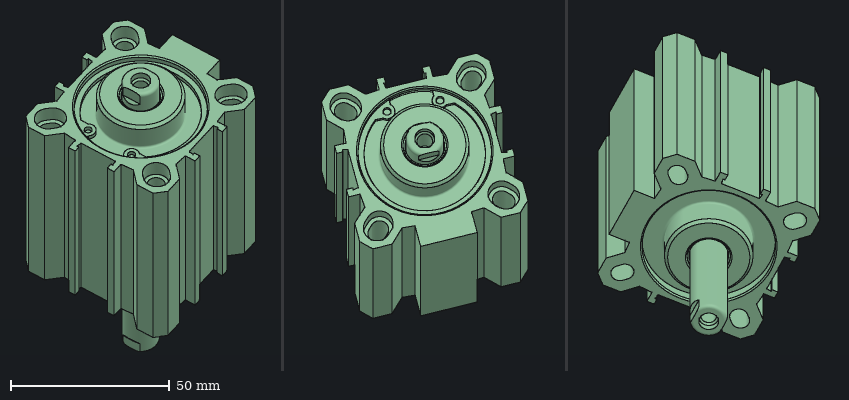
import cadquery as cq
import math


housing_height = 69.5
corner_reach = 27.5
corner_chamfer = 3.4
post_edge = 17.8
post_root = (13.35, 23.05)
wall_reach = 23.4
pad_width = 18.5
pad_reach = 30.5

rail_outer = 8.8
rail_inner = 6.6
rail_undercut = 6.9
rail_lip_inner = 6.2
rail_lip_start = 25.1
rail_reach = 27.2

mount_offset = 20.5
mount_stretch = 1.6
mount_hole_diameter = 5.75
counterbore_diameter = 8.57
counterbore_depth = 5.65

bore_diameter = 40.0
seat_diameter = 42.2
mouth_chamfer = 0.5
cover_recess = 3.8
ring_thickness = 1.5
ring_inner_diameter = 38.4
ring_groove_diameter = 44.7
ring_turn = 1.9
ring_gap_half = 7.0
ear_radius = 2.5
ear_hole_diameter = 2.5
ear_pitch_radius = 18.35
ear_angle = 27.9
ear_shoulder_end = 13.5
ear_shoulder = 14.3

boss_diameter = 28.0
boss_projection = 6.0
boss_chamfer = 1.0
boss_foot_fillet = 0.8
flange_thickness = 8.0
wiper_diameter = 13.7
wiper_depth = 1.0
wiper_chamfer = 0.5
rod_clearance_diameter = 12.54
rod_clearance_depth = 3.0

rod_diameter = 12.0
rod_top_projection = 6.5
rod_bottom_projection = 36.5
rod_end_fillet = 1.25
flat_width = 10.0
flat_length = 4.5
tap_diameter = 4.92
tap_depth = 15.0
tap_relief_diameter = 6.25
tap_relief_depth = 2.3
hole_floor_angle = 160.0

mid_height = housing_height / 2
seat_depth = cover_recess + flange_thickness
boss_top = housing_height + boss_projection


def cylinder(diameter, bottom, height):
    return cq.Workplane("XY").workplane(offset=bottom).circle(diameter / 2).extrude(height)


def cone(lower_diameter, upper_diameter, bottom, height):
    solid = cq.Solid.makeCone(lower_diameter / 2, upper_diameter / 2, height, cq.Vector(0, 0, bottom))
    return cq.Workplane("XY").add(solid)


def mirrored_down(shape):
    """The shape reflected to the other end of the housing."""
    return shape.mirror("XY", (0, 0, mid_height))


def turned(shape, angle):
    return shape.rotate((0, 0, 0), (0, 0, 1), angle)


def housing_core():
    """Four-post profile, drawn one side at a time and turned around the axis."""
    root_x, root_y = post_root
    chamfer_start = corner_reach - corner_chamfer
    side = [
        (-chamfer_start, corner_reach),
        (-post_edge, corner_reach),
        (-root_x, root_y),
        (-rail_outer, wall_reach),
        (rail_outer, wall_reach),
        (root_x, root_y),
        (post_edge, corner_reach),
        (chamfer_start, corner_reach),
    ]
    outline = []
    for quarter in range(4):
        turn = -math.radians(90 * quarter)
        for x, y in side:
            turned_x = x * math.cos(turn) - y * math.sin(turn)
            turned_y = x * math.sin(turn) + y * math.cos(turn)
            outline.append((turned_x, turned_y))
    return cq.Workplane("XY").polyline(outline).close().extrude(housing_height)


def sensor_rails():
    """Pair of lipped rails on the -Y wall."""
    rail = (
        cq.Workplane("XY")
        .moveTo(rail_outer, -post_root[1])
        .lineTo(rail_outer, -rail_reach)
        .lineTo(rail_lip_inner, -rail_reach)
        .lineTo(rail_lip_inner, -rail_lip_start)
        .lineTo(rail_undercut, -rail_lip_start)
        .lineTo(rail_inner, -wall_reach)
        .lineTo(rail_inner, -post_root[1])
        .close()
        .extrude(housing_height)
    )
    return rail.union(rail.mirror("YZ"))


def diagonal_slots(diameter, bottom, height):
    slots = cq.Workplane("XY")
    for quarter in range(4):
        slot = (
            cq.Workplane("XY")
            .workplane(offset=bottom)
            .center(mount_offset * math.sqrt(2), 0)
            .slot2D(diameter + mount_stretch, diameter)
            .extrude(height)
        )
        slots = slots.add(turned(slot, 45 + 90 * quarter))
    return slots.combine()


def make_housing():
    body = housing_core()
    for angle in (-90, 0, 90):
        body = body.union(turned(sensor_rails(), angle))
    pad_depth = pad_reach - post_root[1]
    pad = cq.Workplane("XY").box(pad_width, pad_depth, housing_height, centered=(True, False, False))
    body = body.union(pad.translate((0, post_root[1], 0)))

    seat = cylinder(seat_diameter, housing_height - seat_depth, seat_depth)
    mouth_diameter = seat_diameter + 2 * mouth_chamfer
    mouth = cone(seat_diameter, mouth_diameter, housing_height - mouth_chamfer, mouth_chamfer)
    end_cut = seat.union(mouth)
    groove = cylinder(ring_groove_diameter, housing_height - cover_recess, ring_thickness)
    body = body.cut(cylinder(bore_diameter, 0, housing_height))
    body = body.cut(end_cut).cut(mirrored_down(end_cut)).cut(groove)

    counterbore_floor = housing_height - counterbore_depth
    body = body.cut(diagonal_slots(mount_hole_diameter, 0, housing_height))
    return body.cut(diagonal_slots(counterbore_diameter, counterbore_floor, counterbore_depth))


def make_top_cover():
    """Flange and boss turned in one piece, with a fillet at the boss foot."""
    flange_top = housing_height - cover_recess
    flange_bottom = flange_top - flange_thickness
    flange_radius = seat_diameter / 2
    boss_radius = boss_diameter / 2
    foot_radius = boss_radius + boss_foot_fillet
    cover = (
        cq.Workplane("XZ")
        .moveTo(0, flange_bottom)
        .lineTo(flange_radius, flange_bottom)
        .lineTo(flange_radius, flange_top)
        .lineTo(foot_radius, flange_top)
        .radiusArc((boss_radius, flange_top + boss_foot_fillet), boss_foot_fillet)
        .lineTo(boss_radius, boss_top - boss_chamfer)
        .lineTo(boss_radius - boss_chamfer, boss_top)
        .lineTo(0, boss_top)
        .close()
        .revolve(360, (0, 0, 0), (0, 1, 0))
    )

    wiper = cylinder(wiper_diameter, boss_top - wiper_depth, wiper_depth)
    mouth_diameter = wiper_diameter + 2 * wiper_chamfer
    lead_in = cone(wiper_diameter, mouth_diameter, boss_top - wiper_chamfer, wiper_chamfer)
    clearance = cylinder(rod_clearance_diameter, boss_top - rod_clearance_depth, rod_clearance_depth)
    rod_hole = cylinder(rod_diameter, 0, boss_top)
    return cover.cut(rod_hole).cut(clearance).cut(wiper).cut(lead_in)


def make_retaining_ring():
    """Internal retaining ring with its gap toward -Y and an eared end on each side of the gap."""
    plane = cq.Workplane("XY")
    outer_radius = ring_groove_diameter / 2
    disc = plane.circle(outer_radius).extrude(ring_thickness)
    ring = disc.cut(plane.circle(ring_inner_diameter / 2).extrude(ring_thickness))
    ear_x = ear_pitch_radius * math.sin(math.radians(ear_angle))
    ear_y = -ear_pitch_radius * math.cos(math.radians(ear_angle))
    ears = [(-ear_x, ear_y), (ear_x, ear_y)]

    shoulder_depth = outer_radius - ear_shoulder
    shoulders = (
        plane.center(0, -ear_shoulder - shoulder_depth / 2)
        .rect(2 * ear_shoulder_end, shoulder_depth)
        .extrude(ring_thickness)
        .intersect(disc)
    )
    between_ears = (
        plane.center(0, -outer_radius)
        .rect(2 * ear_x, 2 * outer_radius)
        .extrude(ring_thickness)
    )
    ring_gap = (
        plane.center(0, -outer_radius)
        .rect(2 * ring_gap_half, 2 * (outer_radius + ear_y))
        .extrude(ring_thickness)
    )
    ring = ring.union(shoulders.cut(between_ears)).cut(ring_gap)
    ring = ring.union(plane.pushPoints(ears).circle(ear_radius).extrude(ring_thickness))
    ring = ring.cut(plane.pushPoints(ears).circle(ear_hole_diameter / 2).extrude(ring_thickness))
    return turned(ring, -ring_turn).translate((0, 0, housing_height - cover_recess))


def wrench_flat_cut(end):
    """Waste beside both wrench flats at the upper end of the rod, with a 45 degree run-out."""
    half = flat_width / 2
    reach = rod_diameter
    waste = (
        cq.Workplane("YZ")
        .moveTo(half, end)
        .lineTo(half, end - flat_length)
        .lineTo(reach, end - flat_length - (reach - half))
        .lineTo(reach, end)
        .close()
        .extrude(rod_diameter, both=True)
    )
    return waste.union(waste.mirror("XZ"))


def tapped_hole(end):
    """Blind hole from the upper end of the rod with a relieved mouth and a shallow conical floor."""
    relief_taper = (tap_relief_diameter - tap_diameter) / 2
    relief_floor = end - tap_relief_depth
    floor_height = tap_diameter / 2 / math.tan(math.radians(hole_floor_angle / 2))
    hole = cylinder(tap_diameter, end - tap_depth, tap_depth)
    hole = hole.union(cone(0, tap_diameter, end - tap_depth - floor_height, floor_height))
    hole = hole.union(cone(tap_diameter, tap_relief_diameter, relief_floor - relief_taper, relief_taper))
    return hole.union(cylinder(tap_relief_diameter, relief_floor, tap_relief_depth))


def make_rod():
    top = boss_top + rod_top_projection
    bottom = -boss_projection - rod_bottom_projection
    rod = cylinder(rod_diameter, bottom, top - bottom)
    rod = rod.faces("<Z or >Z").edges().fillet(rod_end_fillet)
    end_cut = wrench_flat_cut(top).union(tapped_hole(top))
    lower_end_cut = end_cut.mirror("XY", (0, 0, (top + bottom) / 2))
    return rod.cut(end_cut).cut(lower_end_cut)


housing = make_housing()
top_cover = make_top_cover()
bottom_cover = mirrored_down(top_cover)
retaining_ring = make_retaining_ring()
rod = make_rod()

result = cq.Compound.makeCompound([
    housing.val(),
    top_cover.val(),
    bottom_cover.val(),
    retaining_ring.val(),
    rod.val(),
])